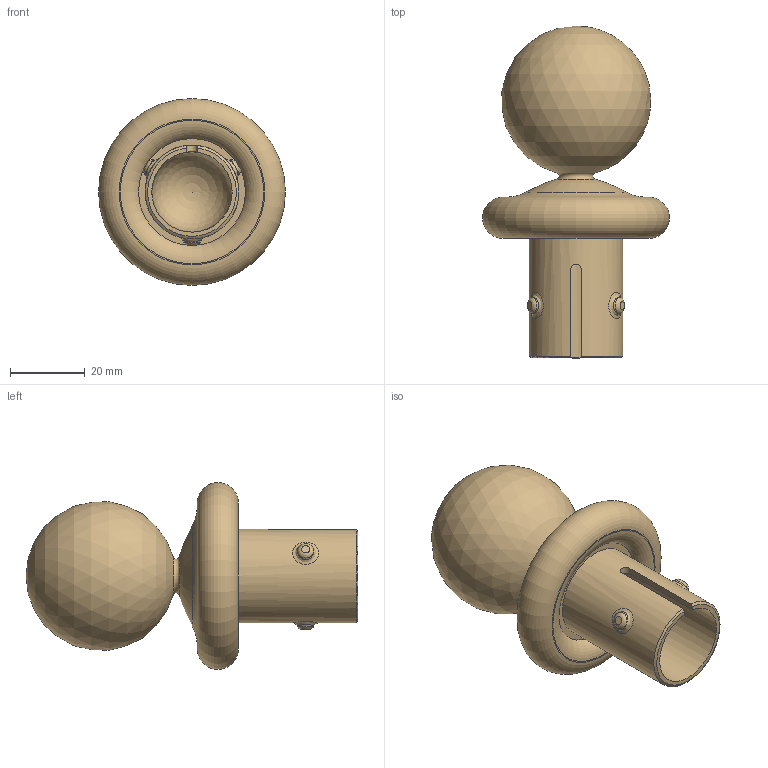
import cadquery as cq
import math

overall_length = 88.83

tube_diameter = 25.1
bore_diameter = 21.5
tube_length = 32.0
mouth_chamfer_radial = 0.7
mouth_chamfer_axial = 0.45

slot_width = 3.0
slot_length = 25.0

flange_diameter = 50.0
flange_thickness = 11.0
lip_inner_radius = 19.2
recess_radius = 14.3

hub_foot_radius = 13.5
hub_foot_height = 1.3
hub_blend_radius = 18.6
hub_bulge = 0.27
neck_base_radius = 5.4
neck_base_height = 4.75
neck_waist_radius = 4.5
neck_waist_height = 5.75
neck_top_radius = 5.1

ball_diameter = 40.0

pin_angles = (30.0, 150.0, 270.0)
pin_distance_from_mouth = 14.0
pin_shoulder_radius = 2.2
pin_tip_radius = 1.1
pin_shoulder_height = 13.4
pin_tip_height = 14.3
pin_dome_bulge = 0.2
pin_side_angle = 64.0
pin_root_fillet = 1.51

tube_radius = tube_diameter / 2
bore_radius = bore_diameter / 2
mouth_y = -tube_length
flange_radius = flange_diameter / 2
rim_radius = flange_thickness / 2
rim_center_radius = flange_radius - rim_radius
recess_depth = rim_radius - math.sqrt(rim_radius**2 - (lip_inner_radius - recess_radius) ** 2)
ball_radius = ball_diameter / 2
ball_top_y = overall_length - tube_length
ball_center_y = ball_top_y - ball_radius


def bulged_midpoint(start, end, bulge):
    """Middle of an arc from start to end that swells to the left of the chord by bulge."""
    dx = end[0] - start[0]
    dy = end[1] - start[1]
    chord = math.hypot(dx, dy)
    mid_x = (start[0] + end[0]) / 2 - bulge * dy / chord
    mid_y = (start[1] + end[1]) / 2 + bulge * dx / chord
    return (mid_x, mid_y)


def make_turned_body():
    """Tube, flange, hub, neck and ball as one solid of revolution, before boring."""
    hub_foot = (hub_foot_radius, flange_thickness + hub_foot_height)
    neck_base = (neck_base_radius, flange_thickness + neck_base_height)
    neck_waist = (neck_waist_radius, flange_thickness + neck_waist_height)
    neck_top_y = ball_center_y - math.sqrt(ball_radius**2 - neck_top_radius**2)
    hub_middle = bulged_midpoint(neck_base, hub_foot, hub_bulge)

    profile = (
        cq.Workplane("XY")
        .moveTo(0, mouth_y)
        .lineTo(tube_radius - mouth_chamfer_radial, mouth_y)
        .lineTo(tube_radius, mouth_y + mouth_chamfer_axial)
        .lineTo(tube_radius, recess_depth)
        .lineTo(recess_radius, recess_depth)
        .radiusArc((lip_inner_radius, 0), -rim_radius)
        .lineTo(rim_center_radius, 0)
        .threePointArc((flange_radius, rim_radius), (rim_center_radius, flange_thickness))
        .lineTo(hub_blend_radius, flange_thickness)
        .tangentArcPoint(hub_foot, relative=False)
        .threePointArc(hub_middle, neck_base)
        .threePointArc(neck_waist, (neck_top_radius, neck_top_y))
        .threePointArc((ball_radius, ball_center_y), (0, ball_top_y))
        .close()
    )
    return profile.revolve(360, (0, 0, 0), (0, 1, 0))


def make_pin(angle):
    """Domed conical pin standing on the tube, turned by angle about Y from +X toward +Z."""
    root_depth = bore_radius + (tube_radius - bore_radius) / 2
    side_run = (pin_shoulder_height - root_depth) / math.tan(math.radians(pin_side_angle))
    shoulder = (pin_shoulder_height, pin_shoulder_radius)
    tip = (pin_tip_height, pin_tip_radius)
    pin = (
        cq.Workplane("XY")
        .moveTo(root_depth, 0)
        .lineTo(root_depth, pin_shoulder_radius + side_run)
        .lineTo(*shoulder)
        .threePointArc(bulged_midpoint(shoulder, tip, pin_dome_bulge), tip)
        .lineTo(pin_tip_height, 0)
        .close()
        .revolve(360, (0, 0, 0), (1, 0, 0))
    )
    pin = pin.translate((0, mouth_y + pin_distance_from_mouth, 0))
    return pin.rotate((0, 0, 0), (0, 1, 0), -angle)


def make_bore():
    """Cylindrical bore with a hemispherical end at the flange."""
    profile = (
        cq.Workplane("XY")
        .moveTo(0, mouth_y)
        .lineTo(bore_radius, mouth_y)
        .lineTo(bore_radius, 0)
        .radiusArc((0, bore_radius), -bore_radius)
        .close()
    )
    return profile.revolve(360, (0, 0, 0), (0, 1, 0))


def make_slot():
    """Round-ended slot, open at the mouth, through the +Z wall only."""
    end_radius = slot_width / 2
    end_center_y = mouth_y + slot_length - end_radius
    return (
        cq.Workplane("XY")
        .moveTo(-end_radius, mouth_y)
        .lineTo(end_radius, mouth_y)
        .lineTo(end_radius, end_center_y)
        .threePointArc((0, end_center_y + end_radius), (-end_radius, end_center_y))
        .close()
        .extrude(tube_diameter)
    )


body = make_turned_body()
for pin_angle in pin_angles:
    body = body.union(make_pin(pin_angle))
body = body.edges("%BSPLINE").fillet(pin_root_fillet)

result = body.cut(make_bore()).cut(make_slot())